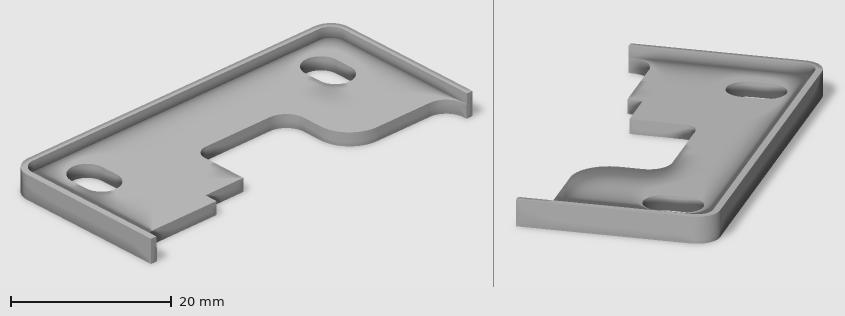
import cadquery as cq

length_x = 25.5
width_y = 55.0
height = 3.6
floor_thickness = 2.0
wall_thickness = 0.9
corner_radius = 3.0

floor_edge_x = 22.0
end_relief_radius = 3.0
end_strip_width = 1.0

notch_x = 11.0
notch_top_y = 9.5
notch_bottom_y = -6.5
notch_top_radius = 3.0
notch_bottom_radius = 2.0
shoulder_radius = 5.0
step_x = 20.0
step_y = -13.0

slot_length = 7.8
slot_width = 5.2
slot_x = 7.25
slot_spacing = 40.0

half_width = width_y / 2
strip_edge_y = half_width - end_strip_width
relief_end_x = floor_edge_x + end_relief_radius
relief_start_y = strip_edge_y - end_relief_radius


def rounded_block(left, half_y, radius, z_bottom, z_top):
    """Block from x = left to the open end, with its two left corners rounded."""
    return (
        cq.Workplane("XY", origin=(0, 0, z_bottom))
        .moveTo(length_x, half_y)
        .lineTo(left, half_y)
        .lineTo(left, -half_y)
        .lineTo(length_x, -half_y)
        .close()
        .extrude(z_top - z_bottom)
        .edges("|Z and <X")
        .fillet(radius)
    )


def tray():
    """Floor with a raised wall on three sides, open towards +X."""
    outer = rounded_block(0, half_width, corner_radius, 0, height)
    cavity = rounded_block(
        wall_thickness,
        half_width - wall_thickness,
        corner_radius - wall_thickness,
        floor_thickness,
        height,
    )
    return outer.cut(cavity)


def edge_cutout():
    """Region removed from the floor's free edge, including the notch."""
    return (
        cq.Workplane("XY")
        .moveTo(length_x, strip_edge_y)
        .lineTo(relief_end_x, strip_edge_y)
        .radiusArc((floor_edge_x, relief_start_y), -end_relief_radius)
        .lineTo(floor_edge_x, notch_top_y + shoulder_radius)
        .radiusArc((floor_edge_x - shoulder_radius, notch_top_y), shoulder_radius)
        .lineTo(notch_x + notch_top_radius, notch_top_y)
        .radiusArc((notch_x, notch_top_y - notch_top_radius), -notch_top_radius)
        .lineTo(notch_x, notch_bottom_y + notch_bottom_radius)
        .radiusArc((notch_x + notch_bottom_radius, notch_bottom_y), -notch_bottom_radius)
        .lineTo(step_x, notch_bottom_y)
        .lineTo(step_x, step_y)
        .lineTo(floor_edge_x, step_y)
        .lineTo(floor_edge_x, -relief_start_y)
        .radiusArc((relief_end_x, -strip_edge_y), -end_relief_radius)
        .lineTo(length_x, -strip_edge_y)
        .close()
        .extrude(floor_thickness)
    )


def mounting_slots():
    """Two through slots, mirrored about the X axis."""
    return (
        cq.Workplane("XY")
        .pushPoints([(slot_x, slot_spacing / 2), (slot_x, -slot_spacing / 2)])
        .slot2D(slot_length, slot_width)
        .extrude(floor_thickness)
    )


result = tray().cut(edge_cutout()).cut(mounting_slots())